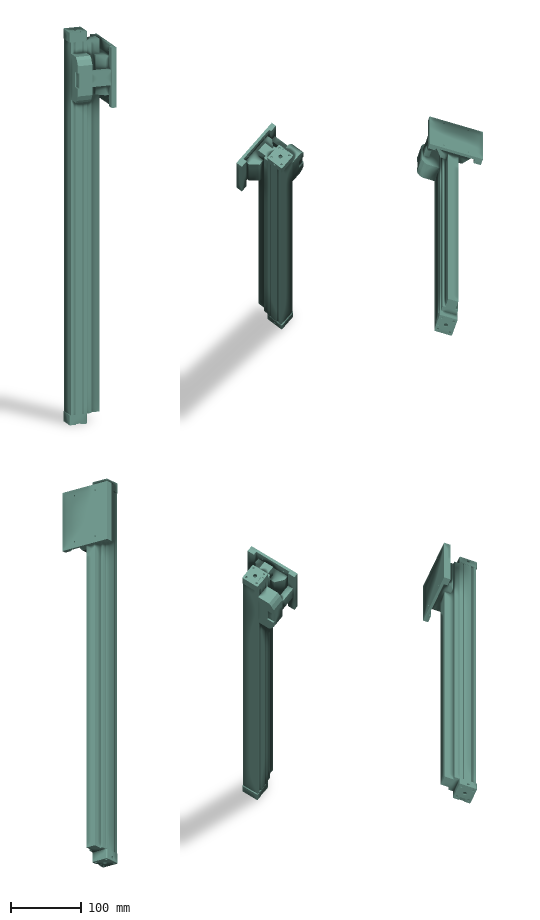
import cadquery as cq


TOTAL_LENGTH = 580.0
CAP_LENGTH = 14.5
CAP_SIZE = 26.5
CAP_FRONT_Y = 61.5
CAP_CORNER_RADIUS = 1.45
CAP_BACK_Y = CAP_FRONT_Y - CAP_SIZE
CAP_CENTER_Y = CAP_FRONT_Y - CAP_SIZE / 2
CAP_SCREW_DIAMETER = 3.25
CAP_SCREW_SPACING = 18.0
CAP_SCREW_DEPTH = 3.0
CAP_CENTER_HOLE_DIAMETER = 6.0
CAP_SIDE_HOLE_DIAMETER = 4.1
CAP_SIDE_HOLE_FROM_END = 5.0
CAP_HOLE_DEPTH = 4.5
CAP_NOTCH_WIDTH = 8.0
CAP_NOTCH_REACH = 5.0
CAP_NOTCH_DEPTH = 1.0

PROFILE_WIDTH = 26.0
PROFILE_FRONT_Y = 60.0
BASE_WIDTH = 23.0
BASE_BACK_Y = 27.0
GUIDE_WIDTH = 15.0
GUIDE_BACK_Y = 14.0
SIDE_GROOVES = [(40.0, 2.0), (52.0, 3.5)]
GROOVE_DEPTH = 2.0

CARRIAGE_CENTER_Z = 515.0
PLATE_WIDTH = 80.0
PLATE_LENGTH = 89.0
PLATE_WEB_THICKNESS = 4.0
LEFT_LIP_THICKNESS = 10.0
RIGHT_LIP_THICKNESS = 7.5
CHANNEL_WIDTH = 58.0
PLATE_HOLE_DIAMETER = 2.45
PLATE_HOLE_SPACING_X = 36.5
PLATE_HOLE_SPACING_Z = 70.0

BLOCK_LENGTH = 58.0
BLOCK_HALF_WIDTH = 25.5
BLOCK_NOSE_HALF_WIDTH = 17.0
BLOCK_FRONT_Y = 23.0
BLOCK_SLOPE_START_Y = 11.5
BLOCK_SLOPE_END_Y = 22.0

ARM_LEFT_X = CHANNEL_WIDTH / 2
ARM_WIDTH = 8.5
ARM_LENGTH = 22.5

HEAD_LENGTH = 68.0
HEAD_LEFT_X = PROFILE_WIDTH / 2
HEAD_RIGHT_X = PLATE_WIDTH / 2
HEAD_BACK_Y = 37.0
HEAD_FRONT_Y = 59.0
HEAD_CORNER_START_X = 32.0
HEAD_CORNER_BEND_X = 36.0
HEAD_CORNER_LENGTH = 11.5
HEAD_EDGE_RADIUS = 2.0
ARM_END_RECESS = 2.5


def box(x_range, y_range, z_range):
    """Box between the given (low, high) limits."""
    (x0, x1), (y0, y1), (z0, z1) = x_range, y_range, z_range
    return cq.Workplane("XY").box(x1 - x0, y1 - y0, z1 - z0, centered=False).translate((x0, y0, z0))


def carriage_span(length):
    """Z limits of a carriage feature, centered on the carriage."""
    return (CARRIAGE_CENTER_Z - length / 2, CARRIAGE_CENTER_Z + length / 2)


def centered_span(width):
    return (-width / 2, width / 2)


def make_extrusion():
    span_z = (CAP_LENGTH, TOTAL_LENGTH - CAP_LENGTH)
    body = box(centered_span(PROFILE_WIDTH), (CAP_BACK_Y, PROFILE_FRONT_Y), span_z)
    body = body.union(box(centered_span(BASE_WIDTH), (BASE_BACK_Y, CAP_BACK_Y), span_z))
    body = body.union(box(centered_span(GUIDE_WIDTH), (GUIDE_BACK_Y, BASE_BACK_Y), span_z))
    core_half = PROFILE_WIDTH / 2 - GROOVE_DEPTH
    for start_y, width in SIDE_GROOVES:
        span_y = (start_y, start_y + width)
        for x_range in [(-PROFILE_WIDTH / 2, -core_half), (core_half, PROFILE_WIDTH / 2)]:
            body = body.cut(box(x_range, span_y, span_z))
    return body


def make_cap():
    """End cap standing on Z = 0 with its outer end at Z = CAP_LENGTH."""
    cap = box(centered_span(CAP_SIZE), (CAP_BACK_Y, CAP_FRONT_Y), (0, CAP_LENGTH))
    cap = cap.edges("|Z").fillet(CAP_CORNER_RADIUS)
    outer_end = cq.Workplane("XY", origin=(0, CAP_CENTER_Y, CAP_LENGTH))
    screws = outer_end.rect(CAP_SCREW_SPACING, CAP_SCREW_SPACING, forConstruction=True).vertices()
    cap = cap.cut(screws.circle(CAP_SCREW_DIAMETER / 2).extrude(-CAP_SCREW_DEPTH))
    cap = cap.cut(outer_end.circle(CAP_CENTER_HOLE_DIAMETER / 2).extrude(-CAP_HOLE_DEPTH))
    side = cq.Workplane("YZ", origin=(-CAP_SIZE / 2, CAP_CENTER_Y, CAP_LENGTH - CAP_SIDE_HOLE_FROM_END))
    cap = cap.cut(side.circle(CAP_SIDE_HOLE_DIAMETER / 2).extrude(CAP_HOLE_DEPTH))
    notch = box(
        (CAP_SIZE / 2 - CAP_NOTCH_REACH, CAP_SIZE / 2),
        (CAP_CENTER_Y - CAP_NOTCH_WIDTH / 2, CAP_CENTER_Y + CAP_NOTCH_WIDTH / 2),
        (CAP_LENGTH - CAP_NOTCH_DEPTH, CAP_LENGTH),
    )
    return cap.cut(notch)


def make_rail():
    top_cap = make_cap().translate((0, 0, TOTAL_LENGTH - CAP_LENGTH))
    bottom_cap = top_cap.mirror("XY", (0, 0, TOTAL_LENGTH / 2))
    return make_extrusion().union(top_cap).union(bottom_cap)


def make_plate():
    half_plate = PLATE_WIDTH / 2
    half_channel = CHANNEL_WIDTH / 2
    span_z = carriage_span(PLATE_LENGTH)
    plate = box((-half_plate, half_plate), (0, PLATE_WEB_THICKNESS), span_z)
    plate = plate.union(box((-half_plate, -half_channel), (0, LEFT_LIP_THICKNESS), span_z))
    plate = plate.union(box((half_channel, half_plate), (0, RIGHT_LIP_THICKNESS), span_z))
    holes = (
        cq.Workplane("XZ", origin=(0, 0, CARRIAGE_CENTER_Z))
        .rect(PLATE_HOLE_SPACING_X, PLATE_HOLE_SPACING_Z, forConstruction=True)
        .vertices()
        .circle(PLATE_HOLE_DIAMETER / 2)
        .extrude(-PLATE_WEB_THICKNESS)
    )
    return plate.cut(holes)


def make_block():
    right_side = [
        (BLOCK_HALF_WIDTH, PLATE_WEB_THICKNESS),
        (BLOCK_HALF_WIDTH, BLOCK_SLOPE_START_Y),
        (BLOCK_NOSE_HALF_WIDTH, BLOCK_SLOPE_END_Y),
        (BLOCK_NOSE_HALF_WIDTH, BLOCK_FRONT_Y),
    ]
    left_side = [(-x, y) for x, y in reversed(right_side)]
    bottom, top = carriage_span(BLOCK_LENGTH)
    block = cq.Workplane("XY", origin=(0, 0, bottom)).polyline(right_side + left_side).close()
    block = block.extrude(top - bottom)
    guide_slot = box(centered_span(GUIDE_WIDTH), (GUIDE_BACK_Y, BLOCK_FRONT_Y), (bottom, top))
    return block.cut(guide_slot)


def make_head():
    half = HEAD_LENGTH / 2
    bend_z = half - (HEAD_CORNER_BEND_X - HEAD_CORNER_START_X)
    upper = [
        (HEAD_LEFT_X, half),
        (HEAD_CORNER_START_X, half),
        (HEAD_CORNER_BEND_X, bend_z),
        (HEAD_RIGHT_X, half - HEAD_CORNER_LENGTH),
    ]
    lower = [(x, -z) for x, z in reversed(upper)]
    head = cq.Workplane("XZ", origin=(0, HEAD_BACK_Y, CARRIAGE_CENTER_Z)).polyline(upper + lower).close()
    head = head.extrude(HEAD_BACK_Y - HEAD_FRONT_Y)
    recess = box(
        (ARM_LEFT_X, HEAD_RIGHT_X),
        (HEAD_FRONT_Y - ARM_END_RECESS, HEAD_FRONT_Y),
        carriage_span(ARM_LENGTH),
    )
    head = head.cut(recess)
    return head.faces(">X").edges("|Z and (not <Y)").fillet(HEAD_EDGE_RADIUS)


def make_carriage():
    arm = box(
        (ARM_LEFT_X, ARM_LEFT_X + ARM_WIDTH),
        (RIGHT_LIP_THICKNESS, HEAD_BACK_Y),
        carriage_span(ARM_LENGTH),
    )
    return make_plate().union(make_block()).union(arm).union(make_head())


rail = make_rail().mirror("XZ").solids()
carriage = make_carriage().mirror("XZ").solids()

result = cq.Compound.makeCompound([rail.val(), carriage.val()])